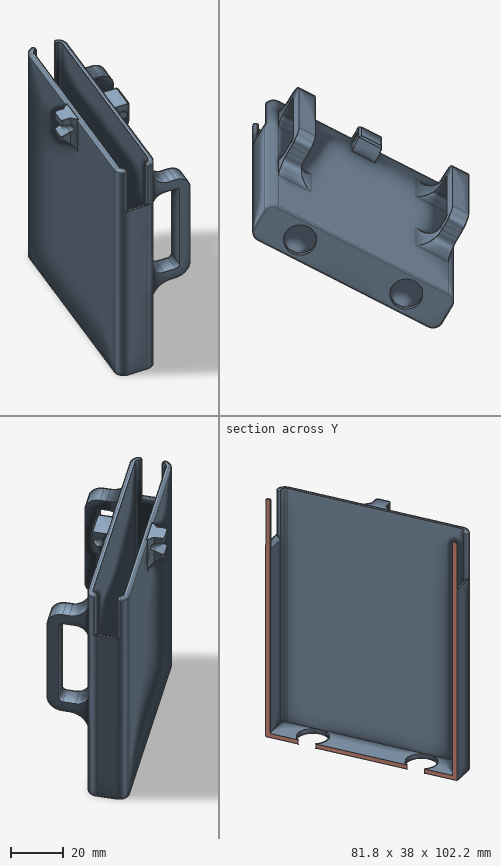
import cadquery as cq
import math

LENGTH = 81.8
DEPTH = 16.0
HEIGHT = 102.2
CORNER_R = 4.0
WALL = 1.9
BOTTOM_R = 0.5
RIM_R = 1.0
SLOT_DEPTH = 20.0
DRAIN_D = 12.5
DRAIN_X = 23.1

BACK = DEPTH / 2
SLOT_WIDTH = DEPTH - 2 * CORNER_R
SLOT_FLOOR = HEIGHT - SLOT_DEPTH

CATCH_WIDTH = 10.0
CATCH_REACH = 6.0
CATCH_DROP = 0.2
CATCH_TOP = HEIGHT - CATCH_DROP
PIN_D = 4.0
PIN_R = PIN_D / 2
PIN_OFFSET = 3.0
PIN_Z = 96.9

HOOK_TIP_WIDTH = 6.0
HOOK_TIP_R = 1.0
UPPER_JAW_Z = 99.2
LOWER_JAW_SLOPE = math.radians(20)
LOWER_JAW_Z = 91.6
LOWER_JAW_EDGE_R = 0.5
HOOK_ROOT_Z = 87.1
HOOK_ROOT_SLOPE = math.radians(45)
HOOK_ROOT_R = 3.0

LUG_OUTER_Z = 92.3
LUG_SLOPE = math.radians(25)
LUG_CHAMFER = 0.7

HANDLE_REACH = 16.0
HANDLE_WIDTH = 7.1
HANDLE_THICKNESS = 4.5
HANDLE_OPENING = 40.0
HANDLE_OUTER_R = 6.0
HANDLE_ROOT_R = 7.5
OPENING_ROOT_R = 5.0
HANDLE_FLARE_R = 7.1
HANDLE_OUTER_X = LENGTH / 2 - CORNER_R

EMBED = WALL / 2

TOLERANCE = 0.01


def side_extrusion(outline, width):
    """Extrude a closed YZ outline symmetrically about X = 0."""
    return outline.close().extrude(width / 2, both=True)


def bounds_cavity(edge):
    """True for a rim edge that lies on the outline of the cavity."""
    box = edge.BoundingBox()
    within_x = max(-box.xmin, box.xmax) < LENGTH / 2 - WALL + TOLERANCE
    within_y = max(-box.ymin, box.ymax) < DEPTH / 2 - WALL + TOLERANCE
    return within_x and within_y


def make_case():
    """Open-topped case with an end slot at each side and two drain holes in the floor."""
    case = (
        cq.Workplane("XY")
        .box(LENGTH, DEPTH, HEIGHT, centered=(True, True, False))
        .edges("|Z")
        .fillet(CORNER_R)
    )
    case = case.faces("<Z").edges().fillet(BOTTOM_R)
    slot = (
        cq.Workplane("XY", origin=(0, 0, SLOT_FLOOR))
        .box(LENGTH, SLOT_WIDTH, SLOT_DEPTH, centered=(True, True, False))
    )
    case = case.cut(slot)

    cavity = (
        cq.Workplane("XY", origin=(0, 0, WALL))
        .box(LENGTH - 2 * WALL, DEPTH - 2 * WALL, HEIGHT, centered=(True, True, False))
        .edges("|Z")
        .fillet(CORNER_R - WALL)
    )
    drains = (
        cq.Workplane("XY")
        .pushPoints([(-DRAIN_X, 0), (DRAIN_X, 0)])
        .circle(DRAIN_D / 2)
        .extrude(WALL)
    )
    case = case.cut(cavity).cut(drains)

    rim_edges = case.faces(">Z").edges().filter(lambda e: not bounds_cavity(e))
    lip_edges = case.edges("|Z").filter(
        lambda e: e.Center().z > SLOT_FLOOR and abs(e.Center().x) > LENGTH / 2 - WALL / 2
    )
    case = case.newObject(rim_edges.vals() + lip_edges.vals()).fillet(RIM_R)

    outer_x = LENGTH / 2
    inner_x = outer_x - WALL
    sill_round = (
        cq.Workplane("XZ")
        .moveTo(inner_x, SLOT_FLOOR)
        .lineTo(outer_x, SLOT_FLOOR)
        .radiusArc((inner_x, SLOT_FLOOR - WALL), -WALL)
        .close()
        .extrude(SLOT_WIDTH / 2, both=True)
    )
    return case.cut(sill_round).cut(sill_round.mirror("YZ"))


def make_hook():
    """Two-jawed hook on the front wall, drawn with its reach along -Y."""
    wall_y = -BACK
    tip_y = wall_y - CATCH_REACH
    pin_y = wall_y - PIN_OFFSET
    seat_y = pin_y + PIN_R * math.sin(LOWER_JAW_SLOPE)
    seat_z = PIN_Z - PIN_R * math.cos(LOWER_JAW_SLOPE)
    lower_tip_z = seat_z - (seat_y - tip_y) * math.tan(LOWER_JAW_SLOPE)
    underside_y = wall_y - (LOWER_JAW_Z - HOOK_ROOT_Z) / math.tan(HOOK_ROOT_SLOPE)
    blend = HOOK_ROOT_R * math.tan((math.pi / 2 - HOOK_ROOT_SLOPE) / 2)
    blend_start_y = wall_y - blend * math.cos(HOOK_ROOT_SLOPE)
    blend_start_z = HOOK_ROOT_Z + blend * math.sin(HOOK_ROOT_SLOPE)

    side = side_extrusion(
        cq.Workplane("YZ")
        .moveTo(wall_y + EMBED, CATCH_TOP)
        .lineTo(tip_y, CATCH_TOP)
        .lineTo(tip_y, UPPER_JAW_Z)
        .lineTo(pin_y, PIN_Z + PIN_R)
        .threePointArc((pin_y + PIN_R, PIN_Z), (seat_y, seat_z))
        .lineTo(tip_y, lower_tip_z)
        .lineTo(tip_y, LOWER_JAW_Z + LOWER_JAW_EDGE_R)
        .tangentArcPoint((tip_y + LOWER_JAW_EDGE_R, LOWER_JAW_Z), relative=False)
        .lineTo(underside_y, LOWER_JAW_Z)
        .lineTo(blend_start_y, blend_start_z)
        .tangentArcPoint((wall_y, HOOK_ROOT_Z - blend), relative=False)
        .lineTo(wall_y + EMBED, HOOK_ROOT_Z - blend),
        CATCH_WIDTH,
    )

    base = CATCH_WIDTH / 2
    tip = HOOK_TIP_WIDTH / 2
    taper_y = wall_y - (base - tip)
    plan = (
        cq.Workplane("XY")
        .moveTo(-base, wall_y + EMBED)
        .lineTo(-base, wall_y)
        .lineTo(-tip, taper_y)
        .lineTo(-tip, tip_y + HOOK_TIP_R)
        .tangentArcPoint((-tip + HOOK_TIP_R, tip_y), relative=False)
        .lineTo(tip - HOOK_TIP_R, tip_y)
        .tangentArcPoint((tip, tip_y + HOOK_TIP_R), relative=False)
        .lineTo(tip, taper_y)
        .lineTo(base, wall_y)
        .lineTo(base, wall_y + EMBED)
        .close()
        .extrude(HEIGHT)
    )
    return side.intersect(plan)


def make_lug():
    """Pierced lug on the back wall with a sloping underside."""
    tip_y = BACK + CATCH_REACH
    root_y = BACK - EMBED
    root_z = LUG_OUTER_Z - (tip_y - root_y) * math.tan(LUG_SLOPE)
    lug = side_extrusion(
        cq.Workplane("YZ")
        .moveTo(root_y, CATCH_TOP)
        .lineTo(tip_y, CATCH_TOP)
        .lineTo(tip_y, LUG_OUTER_Z)
        .lineTo(root_y, root_z),
        CATCH_WIDTH,
    )
    lug = lug.faces(">Y").edges().chamfer(LUG_CHAMFER)
    pin_hole = (
        cq.Workplane("YZ")
        .center(BACK + PIN_OFFSET, PIN_Z)
        .circle(PIN_R)
        .extrude(CATCH_WIDTH, both=True)
    )
    return lug.cut(pin_hole)


def make_handles():
    """Two D-shaped handles on the back wall, each flared towards the middle."""
    tip_y = BACK + HANDLE_REACH
    root_y = BACK - EMBED
    z_low = SLOT_FLOOR - HANDLE_OPENING - HANDLE_THICKNESS
    z_high = SLOT_FLOOR + HANDLE_THICKNESS
    outer_r = HANDLE_OUTER_R
    root_r = HANDLE_ROOT_R
    loop = side_extrusion(
        cq.Workplane("YZ")
        .moveTo(root_y, z_low - root_r)
        .lineTo(BACK, z_low - root_r)
        .radiusArc((BACK + root_r, z_low), root_r)
        .lineTo(tip_y - outer_r, z_low)
        .radiusArc((tip_y, z_low + outer_r), -outer_r)
        .lineTo(tip_y, z_high - outer_r)
        .radiusArc((tip_y - outer_r, z_high), -outer_r)
        .lineTo(BACK + root_r, z_high)
        .radiusArc((BACK, z_high + root_r), root_r)
        .lineTo(root_y, z_high + root_r),
        LENGTH,
    )
    opening_reach = HANDLE_REACH - HANDLE_THICKNESS
    opening = (
        cq.Workplane("XY", origin=(0, BACK + opening_reach / 2, SLOT_FLOOR - HANDLE_OPENING / 2))
        .box(LENGTH, opening_reach, HANDLE_OPENING)
        .edges("|X and <Y")
        .fillet(OPENING_ROOT_R)
        .edges("|X and >Y")
        .fillet(HANDLE_OUTER_R - HANDLE_THICKNESS)
    )
    inner_x = HANDLE_OUTER_X - HANDLE_WIDTH
    plan = (
        cq.Workplane("XY")
        .moveTo(HANDLE_OUTER_X, root_y)
        .lineTo(HANDLE_OUTER_X, tip_y)
        .lineTo(inner_x, tip_y)
        .lineTo(inner_x, BACK + HANDLE_FLARE_R)
        .radiusArc((inner_x - HANDLE_FLARE_R, BACK), HANDLE_FLARE_R)
        .lineTo(inner_x - HANDLE_FLARE_R, root_y)
        .close()
        .extrude(HEIGHT)
    )
    handle = loop.cut(opening).intersect(plan)
    return handle.union(handle.mirror("YZ"))


result = make_case().union(make_hook()).union(make_lug()).union(make_handles())